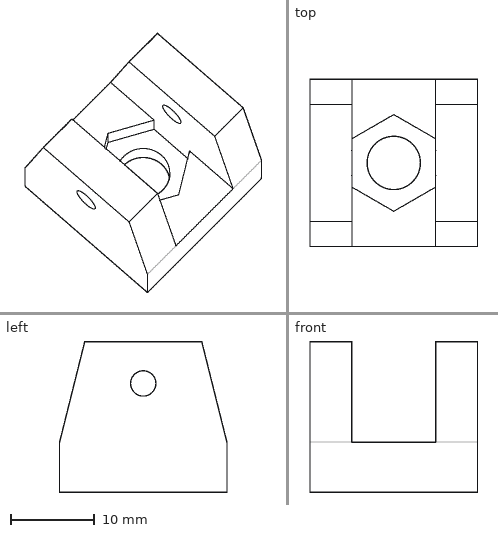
import cadquery as cq
import math

width = 20.0
depth = 20.0
height = 18.0
base_height = 6.0

cheek_thickness = 5.0
cheek_top_depth = 14.0
slot_width = width - 2 * cheek_thickness

pin_diameter = 3.0
pin_height = 13.0

bolt_diameter = 6.35
nut_across_flats = slot_width
nut_across_corners = nut_across_flats / math.cos(math.radians(30))
nut_pocket_depth = 3.0


def tapered_body():
    """Side profile with a tapered upper part, extruded across the full width."""
    profile = [
        (-depth / 2, 0),
        (depth / 2, 0),
        (depth / 2, base_height),
        (cheek_top_depth / 2, height),
        (-cheek_top_depth / 2, height),
        (-depth / 2, base_height),
    ]
    return cq.Workplane("YZ").polyline(profile).close().extrude(width / 2, both=True)


def slot():
    return (
        cq.Workplane("XY")
        .workplane(offset=base_height)
        .rect(slot_width, depth)
        .extrude(height - base_height)
    )


def pin_hole():
    return (
        cq.Workplane("YZ")
        .center(0, pin_height)
        .circle(pin_diameter / 2)
        .extrude(width / 2, both=True)
    )


def bolt_hole():
    return cq.Workplane("XY").circle(bolt_diameter / 2).extrude(base_height)


def nut_pocket():
    """Hexagonal pocket with two flats in line with the slot walls."""
    return (
        cq.Workplane("XY")
        .workplane(offset=base_height - nut_pocket_depth)
        .transformed(rotate=(0, 0, 90))
        .polygon(6, nut_across_corners)
        .extrude(nut_pocket_depth)
    )


result = tapered_body().cut(slot()).cut(pin_hole()).cut(bolt_hole()).cut(nut_pocket())